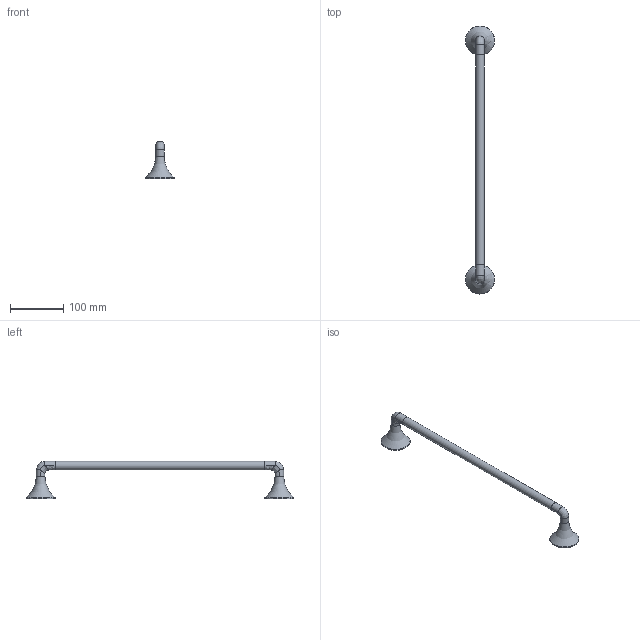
import cadquery as cq
import math

FOOT_SPACING = 450.0
FOOT_DIAMETER = 55.0
TOTAL_HEIGHT = 70.0
RAIL_DIAMETER = 16.0

FOOT_RIM_HEIGHT = 1.5
FOOT_RIM_CHAMFER = 0.5
FLARE_TOP = 42.0
ELBOW_REACH = 27.15
BEND_RADIUS = 8.0

RAIL_RADIUS = RAIL_DIAMETER / 2
FOOT_RADIUS = FOOT_DIAMETER / 2
FLARE_BASE_RADIUS = FOOT_RADIUS - FOOT_RIM_CHAMFER
FLARE_BASE = FOOT_RIM_HEIGHT + FOOT_RIM_CHAMFER
AXIS_HEIGHT = TOTAL_HEIGHT - RAIL_RADIUS
FOOT_Y = FOOT_SPACING / 2
RAIL_LENGTH = FOOT_SPACING - 2 * ELBOW_REACH
BEND_START = AXIS_HEIGHT - BEND_RADIUS

SWEEP_OVERRUN = 2 * RAIL_RADIUS


def make_foot():
    """Trumpet-shaped foot: a low chamfered rim and a flare that meets the post tangentially."""
    flare_width = FLARE_BASE_RADIUS - RAIL_RADIUS
    flare_height = FLARE_TOP - FLARE_BASE
    flare_radius = (flare_width**2 + flare_height**2) / (2 * flare_width)
    half_angle = math.asin(flare_height / flare_radius) / 2
    flare_middle = (
        RAIL_RADIUS + flare_radius * (1 - math.cos(half_angle)),
        FLARE_TOP - flare_radius * math.sin(half_angle),
    )
    return (
        cq.Workplane("XZ")
        .lineTo(FOOT_RADIUS, 0)
        .lineTo(FOOT_RADIUS, FOOT_RIM_HEIGHT)
        .lineTo(FLARE_BASE_RADIUS, FLARE_BASE)
        .threePointArc(flare_middle, (RAIL_RADIUS, FLARE_TOP))
        .lineTo(0, FLARE_TOP)
        .close()
        .revolve(360, (0, 0), (0, 1))
    )


def elbow_axis(overrun):
    """Centre line in the YZ plane: up the post, round the bend, then along +Y."""
    arc_offset = BEND_RADIUS * (1 - math.sqrt(0.5))
    return (
        cq.Workplane("YZ")
        .moveTo(0, FLARE_TOP - overrun)
        .lineTo(0, BEND_START)
        .threePointArc((arc_offset, AXIS_HEIGHT - arc_offset), (BEND_RADIUS, AXIS_HEIGHT))
        .lineTo(ELBOW_REACH + overrun, AXIS_HEIGHT)
    )


def make_elbow():
    """Elbow from the foot to the rail, for the end whose rail leaves towards +Y."""
    outer_half = (
        cq.Workplane("XY", origin=(0, 0, FLARE_TOP))
        .moveTo(-RAIL_RADIUS, 0)
        .threePointArc((0, -RAIL_RADIUS), (RAIL_RADIUS, 0))
        .close()
        .sweep(elbow_axis(0))
    )
    mitre_plane = cq.Plane(
        origin=(0, 0, FLARE_TOP - SWEEP_OVERRUN), xDir=(1, 0, 0), normal=(0, 1, 1)
    )
    inner_half = (
        cq.Workplane(mitre_plane)
        .moveTo(RAIL_RADIUS, 0)
        .ellipseArc(RAIL_RADIUS, RAIL_RADIUS * math.sqrt(2), 0, 180, startAtCurrent=True)
        .close()
        .sweep(elbow_axis(SWEEP_OVERRUN), normal=cq.Vector(0, 1, 1))
    )
    trim_height = TOTAL_HEIGHT - FLARE_TOP
    trim_box = cq.Workplane("XY", origin=(0, 0, FLARE_TOP)).box(
        RAIL_DIAMETER, ELBOW_REACH, trim_height, centered=(True, False, False)
    )
    return outer_half.union(inner_half.intersect(trim_box))


def make_bracket():
    """Foot and elbow in one piece at the -Y end of the rail."""
    return make_foot().union(make_elbow()).translate((0, -FOOT_Y, 0))


def make_rail():
    """Straight round bar between the two elbows."""
    rail_start = -RAIL_LENGTH / 2
    return (
        cq.Workplane("XZ", origin=(0, rail_start, AXIS_HEIGHT))
        .circle(RAIL_RADIUS)
        .extrude(-RAIL_LENGTH)
    )


near_bracket = make_bracket()
far_bracket = near_bracket.mirror("XZ")
rail_body = make_rail().union(far_bracket, clean=False)

result = cq.Compound.makeCompound([near_bracket.solids().val(), rail_body.solids().val()])